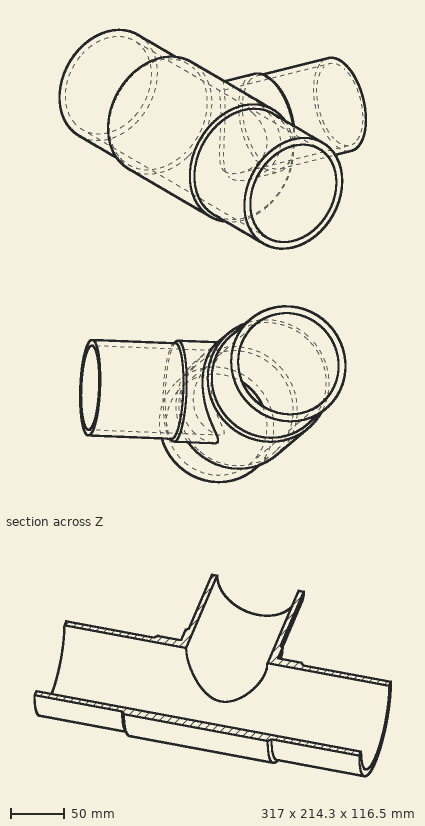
import cadquery as cq

run_length = 317.0
run_diameter = 110.0
run_bore = 96.7

sleeve_length = 145.8
sleeve_diameter = 116.5
sleeve_chamfer_length = 3.0
sleeve_chamfer_depth = (sleeve_diameter - run_diameter) / 2

total_depth = 214.3
branch_reach = total_depth - sleeve_diameter / 2
branch_diameter = 90.0
wall_ratio = run_bore / run_diameter
branch_bore = branch_diameter * wall_ratio
collar_reach = 76.0
collar_diameter = 95.0
collar_chamfer = (collar_diameter - branch_diameter) / 2


def run_cylinder(diameter, length):
    """Cylinder along X, centred on the origin."""
    return cq.Workplane("YZ").circle(diameter / 2).extrude(length / 2, both=True)


def branch_cylinder(diameter, reach):
    """Cylinder from the run axis out to the given +Y reach."""
    return cq.Workplane("XZ").circle(diameter / 2).extrude(-reach)


half_sleeve = sleeve_length / 2
taper_start = half_sleeve - sleeve_chamfer_length
sleeve_radius = sleeve_diameter / 2
sleeve_end_radius = sleeve_radius - sleeve_chamfer_depth
sleeve = (
    cq.Workplane("XY")
    .moveTo(-half_sleeve, 0)
    .lineTo(-half_sleeve, sleeve_end_radius)
    .lineTo(-taper_start, sleeve_radius)
    .lineTo(taper_start, sleeve_radius)
    .lineTo(half_sleeve, sleeve_end_radius)
    .lineTo(half_sleeve, 0)
    .close()
    .revolve(360, (0, 0, 0), (1, 0, 0))
)

collar = branch_cylinder(collar_diameter, collar_reach).faces(">Y").chamfer(collar_chamfer)

body = run_cylinder(run_diameter, run_length).union(sleeve)
body = body.union(collar).union(branch_cylinder(branch_diameter, branch_reach))
body = body.cut(run_cylinder(run_bore, run_length))
result = body.cut(branch_cylinder(branch_bore, branch_reach))